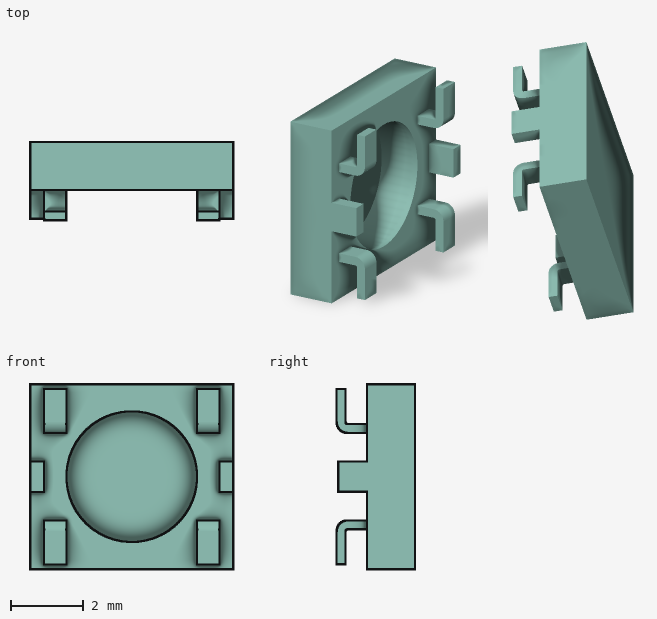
import cadquery as cq

body_width = 5.6
body_height = 5.1
body_depth = 1.33
overall_depth = 2.16

recess_diameter = 3.6
recess_depth = 1.15

post_width = 0.385
post_height = 0.84
post_reach = 0.79

lead_reach = overall_depth - body_depth
lead_width = 0.615
lead_thickness = 0.25
lead_foot_length = 1.215
lead_edge_gap = 0.135
bend_outer_radius = 0.3
bend_inner_radius = bend_outer_radius - lead_thickness

lead_center_x = body_width / 2 - post_width - lead_width / 2
post_center_x = (body_width - post_width) / 2
lead_tip_z = body_height / 2 - lead_edge_gap
lead_base_z = lead_tip_z - lead_foot_length


def make_body():
    block = cq.Workplane("XY").box(body_width, body_depth, body_height)
    block = block.translate((0, body_depth / 2, 0))
    recess = cq.Workplane("XZ").circle(recess_diameter / 2).extrude(-recess_depth)
    return block.cut(recess)


def make_post(center_x):
    post = cq.Workplane("XY").box(post_width, post_reach, post_height)
    return post.translate((center_x, -post_reach / 2, 0))


def make_upper_lead(center_x):
    """L-shaped lead: straight out of the body, then bent up toward the top edge."""
    profile = (
        cq.Workplane("YZ", origin=(center_x - lead_width / 2, 0, 0))
        .moveTo(0, lead_base_z)
        .lineTo(-lead_reach + bend_outer_radius, lead_base_z)
        .radiusArc((-lead_reach, lead_base_z + bend_outer_radius), bend_outer_radius)
        .lineTo(-lead_reach, lead_tip_z)
        .lineTo(-lead_reach + lead_thickness, lead_tip_z)
        .lineTo(-lead_reach + lead_thickness, lead_base_z + bend_outer_radius)
        .radiusArc((-lead_reach + bend_outer_radius, lead_base_z + lead_thickness), -bend_inner_radius)
        .lineTo(0, lead_base_z + lead_thickness)
        .close()
    )
    return profile.extrude(lead_width)


result = make_body()
for side in (-1, 1):
    upper_lead = make_upper_lead(side * lead_center_x)
    result = result.union(make_post(side * post_center_x))
    result = result.union(upper_lead)
    result = result.union(upper_lead.mirror("XY"))